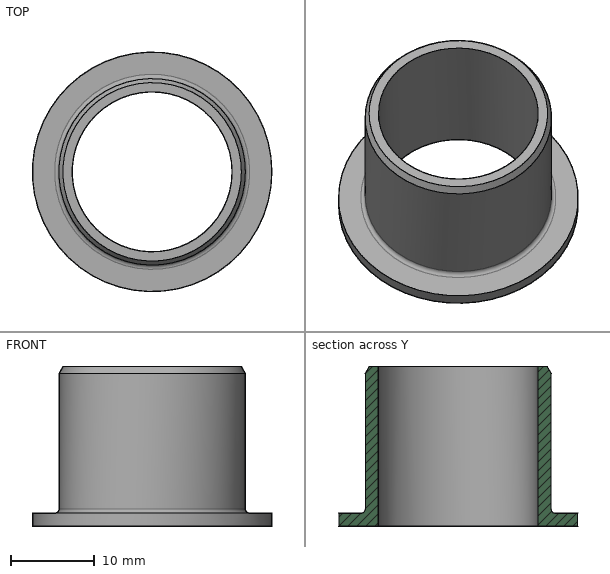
import cadquery as cq
import math

flange_diameter = 28.57
flange_thickness = 1.57
total_height = 19.05
sleeve_diameter = 22.23
bore_diameter = 19.03
root_fillet_radius = 0.5

chamfer_height = 0.83
chamfer_angle = 30.0
chamfer_width = chamfer_height * math.tan(math.radians(chamfer_angle))

flange = cq.Workplane("XY").circle(flange_diameter / 2).extrude(flange_thickness)
sleeve = cq.Workplane("XY").circle(sleeve_diameter / 2).extrude(total_height)
body = flange.union(sleeve)

sleeve_root = cq.selectors.RadiusNthSelector(0)
body = (
    body.faces("<Z[1]")
    .edges(sleeve_root)
    .fillet(root_fillet_radius)
)

chamfer_base = total_height - chamfer_height
chamfer_ring = (
    cq.Workplane("XZ")
    .moveTo(sleeve_diameter / 2, chamfer_base)
    .lineTo(sleeve_diameter / 2, total_height)
    .lineTo(sleeve_diameter / 2 - chamfer_width, total_height)
    .close()
    .revolve(360, (0, 0, 0), (0, 1, 0))
)
body = body.cut(chamfer_ring)

bore = cq.Workplane("XY").circle(bore_diameter / 2).extrude(total_height)
result = body.cut(bore)